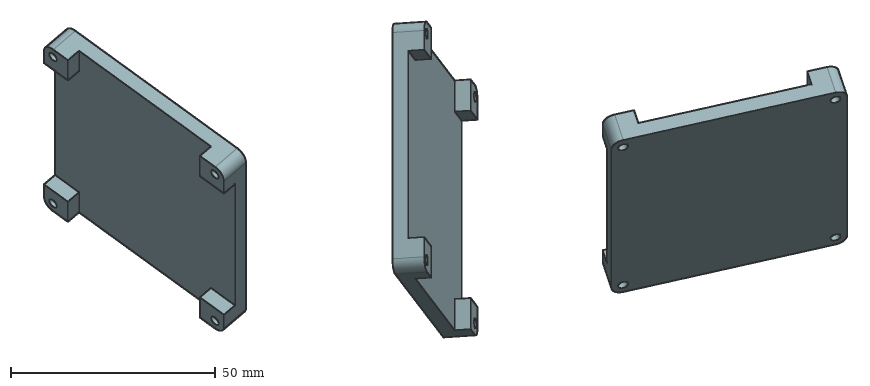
import cadquery as cq

width = 59.95
height = 64.0
depth = 8.0
corner_radius = 3.0

pad_side = 8.0
plate_thickness = depth / 2
pad_height = depth - plate_thickness

hole_diameter = 2.5
hole_inset = corner_radius


def full_depth_block():
    """Rounded block enclosing the plate and its pads."""
    block = cq.Workplane("XY").box(width, depth, height)
    return block.edges("|Y").fillet(corner_radius)


def cross_recess():
    """Front material between the pads, leaving one pad at each corner."""
    recess_y = -depth / 2 + pad_height / 2
    upright = cq.Workplane("XY").box(width - 2 * pad_side, pad_height, height)
    crossbar = cq.Workplane("XY").box(width, pad_height, height - 2 * pad_side)
    return upright.union(crossbar).translate((0, recess_y, 0))


def corner_holes():
    """Four cylinders along Y, one through each pad."""
    return (
        cq.Workplane("XZ")
        .rect(width - 2 * hole_inset, height - 2 * hole_inset, forConstruction=True)
        .vertices()
        .circle(hole_diameter / 2)
        .extrude(depth, both=True)
    )


result = full_depth_block().cut(cross_recess()).cut(corner_holes())